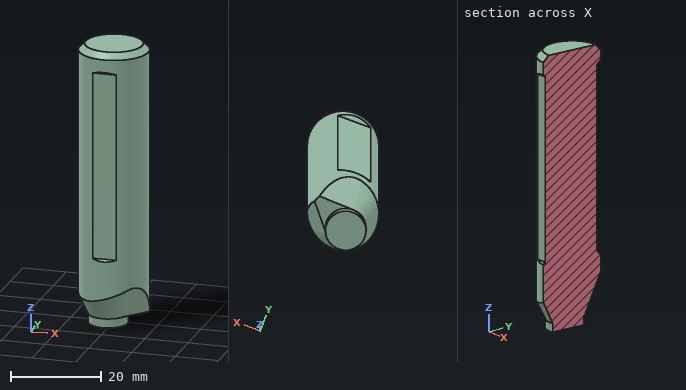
import cadquery as cq
import math

length = 64.7
shank_diameter = 15.85
shank_radius = shank_diameter / 2
top_chamfer = 1.4

pin_diameter = 9.0
pin_radius = pin_diameter / 2
pin_length = 2.15
pin_x = -1.05
pin_y = -1.05

taper_angle = 25.0
front_normal_angle = -40.0
back_normal_angle = 92.0
head_height = 11.65

flat_bottom = 16.7
flat_top = 59.85
front_flat_distance = 7.45
back_flat_distance = 6.9


def point_from_pin(distance, angle):
    """Point at a polar position around the pin axis."""
    radians = math.radians(angle)
    return pin_x + distance * math.cos(radians), pin_y + distance * math.sin(radians)


def make_shank():
    blank = cq.Workplane("XY").circle(shank_radius).extrude(length)
    return blank.faces(">Z").chamfer(top_chamfer)


def make_pin():
    return cq.Workplane("XY").center(pin_x, pin_y).circle(pin_radius).extrude(pin_length)


def make_head_envelope():
    """Teardrop around the pin that widens upward past the shank surface."""
    middle_angle = (front_normal_angle + back_normal_angle) / 2
    half_spread = math.radians(back_normal_angle - front_normal_angle) / 2
    corner = point_from_pin(pin_radius / math.cos(half_spread), middle_angle)
    teardrop = (
        cq.Workplane("XY", origin=(0, 0, pin_length))
        .moveTo(*corner)
        .lineTo(*point_from_pin(pin_radius, back_normal_angle))
        .threePointArc(
            point_from_pin(pin_radius, middle_angle + 180),
            point_from_pin(pin_radius, front_normal_angle),
        )
        .close()
    )
    return teardrop.extrude(head_height, taper=-taper_angle)


def make_flat_cutter(distance, side):
    """Trapezoidal bar clearing the shank beyond a flat; side is the sign of its Y position."""
    ramp = shank_radius - distance
    return (
        cq.Workplane("YZ")
        .polyline([
            (side * distance, flat_bottom),
            (side * shank_radius, flat_bottom - ramp),
            (side * shank_radius, flat_top + ramp),
            (side * distance, flat_top),
        ])
        .close()
        .extrude(shank_radius, both=True)
    )


shank = make_shank()
above_head = cq.Workplane("XY", origin=(0, 0, pin_length + head_height)).circle(shank_radius).extrude(length)
envelope = make_head_envelope().union(above_head)

result = shank.intersect(envelope).union(make_pin())
result = result.cut(make_flat_cutter(front_flat_distance, -1))
result = result.cut(make_flat_cutter(back_flat_distance, 1))